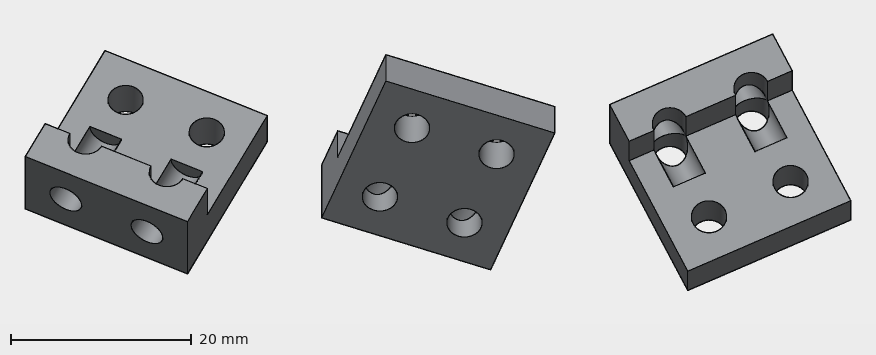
import cadquery as cq

width = 20.0
depth = 20.0
height = 10.0
base_thickness = 5.0
wall_thickness = 5.0
hole_diameter = 3.9
hole_pitch = 10.0
cross_hole_depth = 10.0

hole_columns = [(width - hole_pitch) / 2, (width + hole_pitch) / 2]
hole_rows = [(depth - hole_pitch) / 2, (depth + hole_pitch) / 2]
cross_hole_height = base_thickness


def make_bracket():
    """L-shaped body: a flat base with an upright wall along its -Y edge."""
    base = cq.Workplane("XY").box(width, depth, base_thickness, centered=False)
    wall = cq.Workplane("XY").box(width, wall_thickness, height, centered=False)
    return base.union(wall).clean()


def vertical_hole(x, y):
    """Through hole along Z."""
    return cq.Workplane("XY").center(x, y).circle(hole_diameter / 2).extrude(height)


def cross_hole(x):
    """Blind hole along Y: pierces the wall and leaves a half-round groove in the base."""
    profile = cq.Workplane("XZ").center(x, cross_hole_height).circle(hole_diameter / 2)
    return profile.extrude(-cross_hole_depth)


result = make_bracket()
for column in hole_columns:
    for row in hole_rows:
        result = result.cut(vertical_hole(column, row))
    result = result.cut(cross_hole(column))